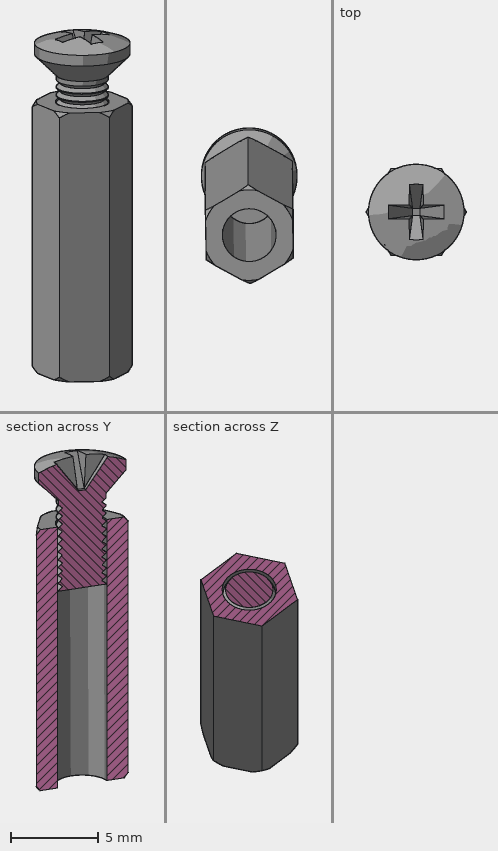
import cadquery as cq
import math

STANDOFF_LENGTH = 16.0
ACROSS_FLATS = 5.0
CHAMFER_DIAMETER = 5.28
CHAMFER_HEIGHT = 0.3
BORE_DIAMETER = 3.08

CROWN_APEX = 20.02
HEAD_DIAMETER = 5.5
CROWN_HEIGHT = 0.55
RIM_HEIGHT = 0.65

THREAD_DIAMETER = 3.0
ROOT_DIAMETER = 2.52
THREAD_PITCH = 0.48
PLAIN_SHANK_LENGTH = 0.28
CREST_WIDTH = 0.05
GROOVE_COUNT = 11

RECESS_SPAN = 3.45
RECESS_WIDTH = 0.82
RECESS_FLOOR = 0.42
RECESS_DEPTH = 2.0

ACROSS_CORNERS = ACROSS_FLATS / math.cos(math.pi / 6)
HEAD_RADIUS = HEAD_DIAMETER / 2
THREAD_RADIUS = THREAD_DIAMETER / 2
GROOVE_WIDTH = THREAD_PITCH - CREST_WIDTH
ROOT_RADIUS = ROOT_DIAMETER / 2
CROWN_BASE = CROWN_APEX - CROWN_HEIGHT
RIM_BASE = CROWN_BASE - RIM_HEIGHT
NECK_TOP = RIM_BASE - (HEAD_RADIUS - THREAD_RADIUS)
THREAD_TOP = NECK_TOP - PLAIN_SHANK_LENGTH
SCREW_TIP = THREAD_TOP - GROOVE_COUNT * THREAD_PITCH


def make_screw_blank():
    """Revolved screw: domed head, cone, plain neck and ring thread."""
    crown_radius = (HEAD_RADIUS**2 + CROWN_HEIGHT**2) / (2 * CROWN_HEIGHT)
    half_arc = math.asin(HEAD_RADIUS / crown_radius) / 2
    arc_middle = (
        crown_radius * math.sin(half_arc),
        CROWN_APEX - crown_radius * (1 - math.cos(half_arc)),
    )
    profile = (
        cq.Workplane("XZ")
        .moveTo(0, CROWN_APEX)
        .threePointArc(arc_middle, (HEAD_RADIUS, CROWN_BASE))
        .lineTo(HEAD_RADIUS, RIM_BASE)
        .lineTo(THREAD_RADIUS, NECK_TOP)
        .lineTo(THREAD_RADIUS, THREAD_TOP)
    )
    for groove in range(GROOVE_COUNT):
        groove_top = THREAD_TOP - groove * THREAD_PITCH
        profile = profile.lineTo(ROOT_RADIUS, groove_top - GROOVE_WIDTH / 2)
        profile = profile.lineTo(THREAD_RADIUS, groove_top - GROOVE_WIDTH)
        profile = profile.lineTo(THREAD_RADIUS, groove_top - THREAD_PITCH)
    return profile.lineTo(0, SCREW_TIP).close().revolve(360, (0, 0, 0), (0, 1, 0))


def make_recess_slot():
    """One tapered slot of the cross recess, lying along X."""
    return (
        cq.Workplane("XY", origin=(0, 0, CROWN_APEX - RECESS_DEPTH))
        .rect(RECESS_FLOOR, RECESS_FLOOR)
        .workplane(offset=RECESS_DEPTH)
        .rect(RECESS_SPAN, RECESS_WIDTH)
        .loft()
    )


def make_screw():
    slot = make_recess_slot()
    crossing_slot = slot.rotate((0, 0, 0), (0, 0, 1), 90)
    return make_screw_blank().cut(slot).cut(crossing_slot)


def make_standoff():
    """Hexagonal bar with turned end chamfers and a clearance bore for the screw."""
    bar = cq.Workplane("XY").polygon(6, ACROSS_CORNERS).extrude(STANDOFF_LENGTH)
    chamfer_width = (ACROSS_CORNERS - CHAMFER_DIAMETER) / 2
    turned_envelope = (
        cq.Workplane("XY")
        .circle(ACROSS_CORNERS / 2)
        .extrude(STANDOFF_LENGTH)
        .faces("|Z")
        .chamfer(CHAMFER_HEIGHT, chamfer_width)
    )
    bore = cq.Workplane("XY").circle(BORE_DIAMETER / 2).extrude(STANDOFF_LENGTH)
    return bar.intersect(turned_envelope).cut(bore)


screw = make_screw()
standoff = make_standoff()
result = cq.Compound.makeCompound([standoff.val(), screw.val()])